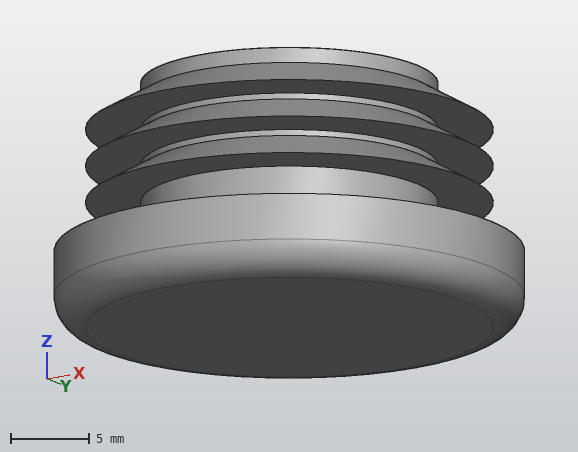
import cadquery as cq

head_diameter = 30.0
head_height = 5.0
rim_radius = 2.0

stem_diameter = 19.0
total_height = 16.0

fin_diameter = 26.0
fin_height = 2.0
fin_pitch = 2.4
fin_count = 3
stem_tip_height = 1.0


def make_head():
    head = cq.Workplane("XY").circle(head_diameter / 2).extrude(head_height)
    return head.faces("<Z").edges().fillet(rim_radius)


def make_stem():
    return cq.Workplane("XY").circle(stem_diameter / 2).extrude(total_height)


def make_fin(base_z):
    """Cone frustum tapering from the sharp edge up to the stem."""
    profile = [
        (0, base_z),
        (fin_diameter / 2, base_z),
        (stem_diameter / 2, base_z + fin_height),
        (0, base_z + fin_height),
    ]
    return cq.Workplane("XZ").polyline(profile).close().revolve(360, (0, 0, 0), (0, 1, 0))


result = make_head().union(make_stem())
highest_fin_base = total_height - stem_tip_height - fin_height
for index in range(fin_count):
    result = result.union(make_fin(highest_fin_base - index * fin_pitch))